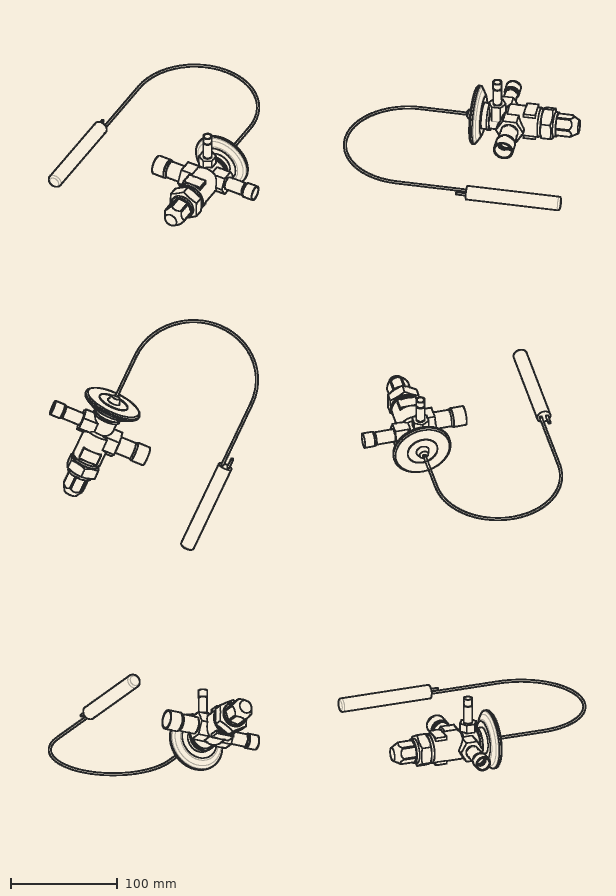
import cadquery as cq
import math


BODY_RADIUS = 14.0
NECK_RADIUS = 11.4
THROAT_RADIUS = 13.3
COLLAR_RADIUS = 11.5
COLLAR_START = 20.5
NUT_START = 23.1
NUT_END = 34.7
BODY_START = 37.3
BODY_END = 66.8
SHOULDER_END = 69.2
RING_START = 83.8
RING_END = 86.0
RING_RADIUS = 13.0
STEM_RADIUS = 12.5
HEAD_START = 91.2

HEAD_TOP = 100.6
HEAD_OUTLINE = [
    (18.3, HEAD_START),
    (20.0, 92.0),
    (24.5, 94.5),
    (26.8, 96.0),
    (27.7, 97.0),
    (27.7, 98.7),
    (26.2, 100.0),
    (14.5, 100.0),
    (14.5, HEAD_TOP),
]
CONE_BASE_RADIUS = 6.1
CONE_WAIST = (4.1, 105.5)
CONE_TOP = (1.7, 107.2)

NUT_FLATS = 27.7
NUT_BACK_RADIUS = 12.9
NUT_BACK_CHAMFER = 1.3
NUT_FRONT_CHAMFER = 1.7
CAP_RADIUS = 10.5
CAP_FLATS = 18.8
CAP_TIP_RADIUS = 6.3
CAP_CONE_LENGTH = 7.5
CAP_TURN = 11

PAD_WIDTH = 18.0
PAD_START = 40.2
PAD_LENGTH = 11.1

INLET_Y = 62.5
INLET_BLOCK_FLATS = 22.7
INLET_BLOCK_END = 20.0
INLET_PIPE_DIAMETER = 16.0
INLET_BORE = 14.0
INLET_SOCKET_DIAMETER = 18.1
INLET_END = 50.5
INLET_SOCKET_LENGTH = 12.2

OUTLET_Y = 72.3
OUTLET_BLOCK_FLATS = 19.2
OUTLET_BLOCK_END = 20.5
OUTLET_PIPE_DIAMETER = 12.0
OUTLET_BORE = 10.0
OUTLET_SOCKET_DIAMETER = 14.0
OUTLET_END = 50.0
OUTLET_SOCKET_LENGTH = 9.5

SOCKET_TAPER = 2.0

EQUALIZER_X = -4.0
EQUALIZER_Y = 77.3
EQUALIZER_FLATS = 14.0
EQUALIZER_HEX_TOP = 19.2
EQUALIZER_PIPE_DIAMETER = 8.0
EQUALIZER_SOCKET_DIAMETER = 8.3
EQUALIZER_BORE = 6.3
EQUALIZER_SOCKET_BORE = 6.8
EQUALIZER_TOP = 43.9
EQUALIZER_SOCKET_LENGTH = 7.2

TUBE_DIAMETER = 2.5
TUBE_OFFSET = 3.0
BEND_Y = 151.3
BULB_X = -122.0
BULB_DIAMETER = 13.0
BULB_BOTTOM = -6.3
BULB_TOP = 83.0
BULB_FILLET = 1.7
STUB_TOP = 93.0
STUB_CHAMFER = 0.7


def turned(points):
    """Revolve a closed (radius, distance) outline about the Y axis."""
    return cq.Workplane("XY").polyline(points).close().revolve(360, (0, 0, 0), (0, 1, 0))


def rod_y(x, start, end, diameter):
    """Solid cylinder parallel to Y at z = 0."""
    plane = cq.Plane(origin=(x, start, 0), xDir=(1, 0, 0), normal=(0, 1, 0))
    return cq.Workplane(plane).circle(diameter / 2).extrude(end - start)


def hex_prism(plane, flats, length):
    """Hexagonal prism with two corners on the plane's local X axis."""
    return cq.Workplane(plane).polygon(6, flats / math.cos(math.pi / 6)).extrude(length)


def valve_body():
    return turned([
        (0, COLLAR_START),
        (COLLAR_RADIUS, COLLAR_START),
        (COLLAR_RADIUS, NUT_END),
        (THROAT_RADIUS, NUT_END),
        (THROAT_RADIUS, BODY_START),
        (BODY_RADIUS, BODY_START),
        (BODY_RADIUS, BODY_END),
        (NECK_RADIUS, SHOULDER_END),
        (NECK_RADIUS, RING_START),
        (RING_RADIUS, RING_START),
        (RING_RADIUS, RING_END),
        (STEM_RADIUS, RING_END),
        (STEM_RADIUS, HEAD_START),
        *HEAD_OUTLINE,
        (CONE_BASE_RADIUS, HEAD_TOP),
        CONE_WAIST,
        CONE_TOP,
        (0, CONE_TOP[1]),
    ])


def union_nut():
    corner_radius = NUT_FLATS / 2 / math.cos(math.pi / 6)
    plane = cq.Plane(origin=(0, NUT_START, 0), xDir=(0, 0, 1), normal=(0, 1, 0))
    chamfered_blank = turned([
        (0, NUT_START),
        (COLLAR_RADIUS, NUT_START),
        (corner_radius, NUT_START + NUT_FRONT_CHAMFER),
        (corner_radius, NUT_END - NUT_BACK_CHAMFER),
        (NUT_BACK_RADIUS, NUT_END),
        (0, NUT_END),
    ])
    return hex_prism(plane, NUT_FLATS, NUT_END - NUT_START).intersect(chamfered_blank)


def end_cap():
    """Round cap with a conical tip and six flats, turned slightly about the valve axis."""
    blank = turned([
        (0, 0),
        (CAP_TIP_RADIUS, 0),
        (CAP_RADIUS, CAP_CONE_LENGTH),
        (CAP_RADIUS, COLLAR_START),
        (0, COLLAR_START),
    ])
    plane = cq.Plane(origin=(0, 0, 0), xDir=(1, 0, 0), normal=(0, 1, 0))
    flats = hex_prism(plane, CAP_FLATS, COLLAR_START).rotate((0, 0, 0), (0, 1, 0), CAP_TURN)
    return blank.intersect(flats)


def label_pads():
    """Flat pads on the top and bottom of the body, level with its highest and lowest lines."""
    pad_center = (0, PAD_START + PAD_LENGTH / 2, 0)
    return cq.Workplane("XY").box(PAD_WIDTH, PAD_LENGTH, 2 * BODY_RADIUS).translate(pad_center)


def side_port(side, y, flats, block_end, pipe_diameter, bore, socket_diameter, end, socket_length):
    """Hexagonal boss with an expanded pipe; side is -1 or +1 along X."""
    plane = cq.Plane(origin=(0, y, 0), xDir=(0, 1, 0), normal=(side, 0, 0))
    block = hex_prism(plane, flats, block_end)
    socket_start = end - socket_length
    pipe_outline = [
        (0, 0),
        (0, pipe_diameter / 2),
        (socket_start - SOCKET_TAPER, pipe_diameter / 2),
        (socket_start, socket_diameter / 2),
        (end, socket_diameter / 2),
        (end, pipe_diameter / 2),
        (socket_start, pipe_diameter / 2),
        (socket_start - SOCKET_TAPER, bore / 2),
        (block_end, bore / 2),
        (block_end, 0),
    ]
    pipe = (
        cq.Workplane("XY", origin=(0, y, 0))
        .polyline([(side * x, radius) for x, radius in pipe_outline])
        .close()
        .revolve(360, (0, 0, 0), (1, 0, 0))
    )
    return block.union(pipe)


def equalizer_port():
    plane = cq.Plane(origin=(EQUALIZER_X, EQUALIZER_Y, 0), xDir=(0, 1, 0), normal=(0, 0, 1))
    socket_start = EQUALIZER_TOP - EQUALIZER_SOCKET_LENGTH
    port = hex_prism(plane, EQUALIZER_FLATS, EQUALIZER_HEX_TOP)
    pipe = cq.Workplane(plane).circle(EQUALIZER_PIPE_DIAMETER / 2).extrude(EQUALIZER_TOP)
    socket = (
        cq.Workplane(plane)
        .workplane(offset=socket_start)
        .circle(EQUALIZER_SOCKET_DIAMETER / 2)
        .extrude(EQUALIZER_SOCKET_LENGTH)
    )
    return (
        port.union(pipe)
        .union(socket)
        .faces(">Z")
        .workplane(origin=(EQUALIZER_X, EQUALIZER_Y, EQUALIZER_TOP))
        .cboreHole(
            EQUALIZER_BORE,
            EQUALIZER_SOCKET_BORE,
            EQUALIZER_SOCKET_LENGTH,
            EQUALIZER_TOP - EQUALIZER_HEX_TOP,
        )
    )


def capillary_tube():
    """Thin tube from the diaphragm head, through a half-circle bend, into the bulb."""
    bulb_end_x = BULB_X + TUBE_OFFSET
    bend_radius = -bulb_end_x / 2
    path = (
        cq.Workplane("XY")
        .moveTo(0, HEAD_TOP)
        .lineTo(0, BEND_Y)
        .threePointArc((bulb_end_x / 2, BEND_Y + bend_radius), (bulb_end_x, BEND_Y))
        .lineTo(bulb_end_x, BULB_TOP - TUBE_DIAMETER)
    )
    plane = cq.Plane(origin=(0, HEAD_TOP, 0), xDir=(1, 0, 0), normal=(0, 1, 0))
    return cq.Workplane(plane).circle(TUBE_DIAMETER / 2).sweep(path)


def sensing_bulb():
    bulb = rod_y(BULB_X, BULB_BOTTOM, BULB_TOP, BULB_DIAMETER).faces("<Y").edges().fillet(BULB_FILLET)
    stub = rod_y(BULB_X - TUBE_OFFSET, BULB_TOP - TUBE_DIAMETER, STUB_TOP, TUBE_DIAMETER)
    return bulb.union(stub.faces(">Y").edges().chamfer(STUB_CHAMFER))


inlet = side_port(
    -1, INLET_Y, INLET_BLOCK_FLATS, INLET_BLOCK_END, INLET_PIPE_DIAMETER, INLET_BORE,
    INLET_SOCKET_DIAMETER, INLET_END, INLET_SOCKET_LENGTH,
)
outlet = side_port(
    1, OUTLET_Y, OUTLET_BLOCK_FLATS, OUTLET_BLOCK_END, OUTLET_PIPE_DIAMETER, OUTLET_BORE,
    OUTLET_SOCKET_DIAMETER, OUTLET_END, OUTLET_SOCKET_LENGTH,
)

result = (
    valve_body()
    .union(union_nut())
    .union(end_cap())
    .union(label_pads())
    .union(inlet)
    .union(outlet)
    .union(equalizer_port())
    .union(capillary_tube())
    .union(sensing_bulb())
)